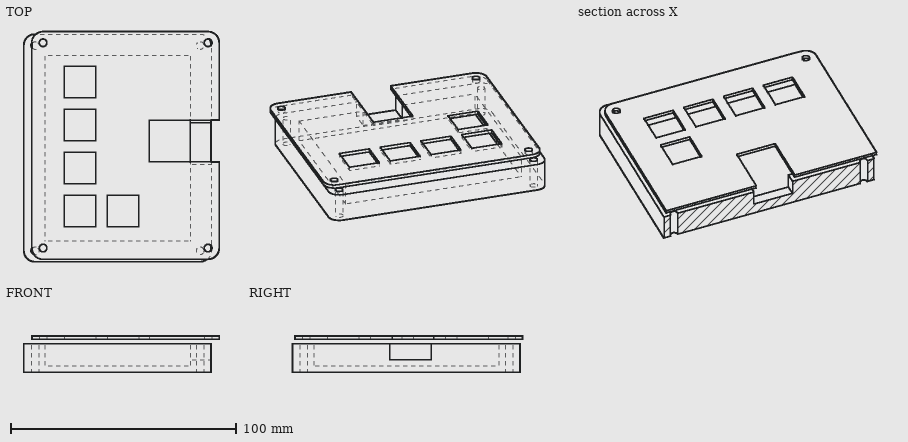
import cadquery as cq

width = 83.2
length = 101.1
corner_radius = 5.0
screw_inset = corner_radius
screw_diameter = 3.4

case_height = 12.8
wall_thickness = 9.4
floor_thickness = 3.0
port_sill_drop = 7.2

plate_thickness = 1.5
plate_gap = 1.8
plate_shift_x = 3.6
plate_shift_y = 1.1

key_size = 14.0
key_pitch = 19.1
key_column_count = 4
first_key_left = 14.4
first_key_bottom = 14.4

port_width = 18.5
port_from_back = 39.4
port_depth_in_plate = 31.0

half_width = width / 2
half_length = length / 2
port_center_y = half_length - port_from_back - port_width / 2


def rounded_slab(height):
    """Block with rounded vertical corners, centred on the Z axis and standing on Z = 0."""
    return (
        cq.Workplane("XY")
        .box(width, length, height, centered=(True, True, False))
        .edges("|Z")
        .fillet(corner_radius)
    )


def screw_holes(height):
    """Cylinders at the four corners, used to cut the screw holes."""
    return (
        cq.Workplane("XY")
        .rect(width - 2 * screw_inset, length - 2 * screw_inset, forConstruction=True)
        .vertices()
        .circle(screw_diameter / 2)
        .extrude(height)
    )


def port_cutter(depth, height):
    """Block that reaches inward from the +X side by the given depth."""
    return (
        cq.Workplane("XY")
        .box(depth, port_width, height, centered=(True, True, False))
        .translate((half_width - depth / 2, port_center_y, 0))
    )


def make_case():
    """Open-topped tray with thick walls and a cable port in the +X wall."""
    cavity = (
        cq.Workplane("XY")
        .workplane(offset=floor_thickness)
        .rect(width - 2 * wall_thickness, length - 2 * wall_thickness)
        .extrude(case_height - floor_thickness)
    )
    port = port_cutter(wall_thickness, port_sill_drop).translate((0, 0, case_height - port_sill_drop))
    return rounded_slab(case_height).cut(cavity).cut(screw_holes(case_height)).cut(port)


def make_plate():
    """Cover plate with key openings and a controller opening."""
    first_key_x = first_key_left + key_size / 2 - half_width
    first_key_y = first_key_bottom + key_size / 2 - half_length
    key_centers = [(first_key_x, first_key_y + row * key_pitch) for row in range(key_column_count)]
    key_centers.append((first_key_x + key_pitch, first_key_y))
    keys = (
        cq.Workplane("XY")
        .pushPoints(key_centers)
        .rect(key_size, key_size)
        .extrude(plate_thickness)
    )
    plate = rounded_slab(plate_thickness).cut(keys).cut(screw_holes(plate_thickness))
    plate = plate.cut(port_cutter(port_depth_in_plate, plate_thickness))
    return plate.translate((plate_shift_x, plate_shift_y, case_height + plate_gap))


case = make_case()
plate = make_plate()

result = cq.Compound.makeCompound([case.val(), plate.val()])